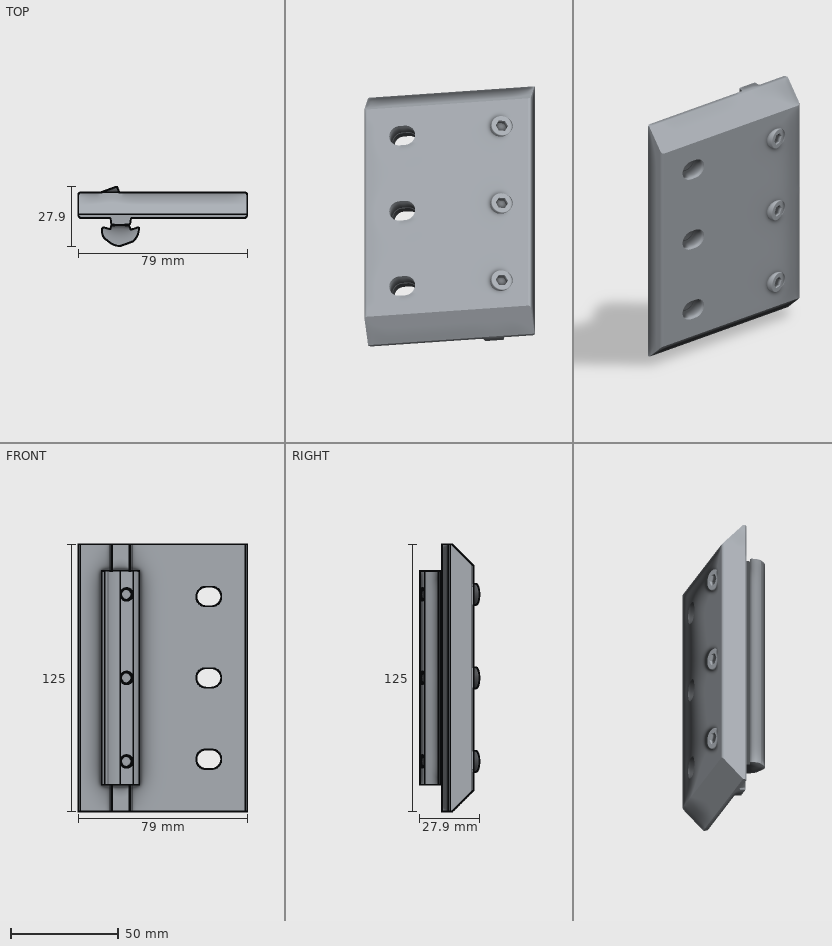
import cadquery as cq
import math

plate_width = 79.0
plate_height = 125.0
plate_thickness = 12.0
end_bevel = 10.1
back_edge_radius = 1.2
front_edge_chamfer = 1.0

rib_center_x = 19.9
rib_root_width = 9.6
rib_tip_width = 8.9
rib_height = 3.0
rib_root_radius = 0.6
rib_tip_chamfer = 0.4
rib_front_y = -(plate_thickness + rib_height)

slot_x = 61.0
slot_length = 11.5
slot_width = 9.0
slot_pitch = 38.0
slot_lip = 4.0
slot_recess_margin = 0.4

bar_length = 100.0
bar_gap = 0.4
bar_radius = 8.6
bar_center_x = rib_center_x
bar_center_y = -16.5
bar_top = rib_front_y - bar_gap - bar_center_y
neck_left = (-4.5, bar_top)
neck_right = (3.9, bar_top)
notch_left = (-4.9, -0.6)
notch_right = (4.8, -0.9)
lip_left = (-8.1, 0.2)
lip_right = (8.1, 0.2)
bulge_top = (-8.8, -0.4)
bulge_middle = (-8.6, -3.0)
bulge_bottom = (-7.5, -5.1)
bulge_end_angle = 224.5
screw_flat_distance = 8.0

screw_tilt = 20.0
screw_pitch = 39.0
screw_diameter = 5.0
head_diameter = 10.0
head_height = 6.0
head_edge_radius = 0.4
head_top_distance = 18.8
socket_sides = 6
socket_width = 5.0
socket_depth = 3.0
tip_recess = 0.5

row = (-1, 0, 1)
tilt = math.radians(screw_tilt)
screw_direction = cq.Vector(math.sin(tilt), -math.cos(tilt), 0)
bar_center = cq.Vector(bar_center_x, bar_center_y, 0)
screw_length = head_top_distance + screw_flat_distance - tip_recess


def screw_plane(distance, z):
    """Plane square to a screw axis, at a distance past the arc centre of the bar."""
    origin = bar_center + screw_direction * distance + cq.Vector(0, 0, z)
    return cq.Plane(origin=origin.toTuple(), xDir=(math.cos(tilt), math.sin(tilt), 0),
                    normal=screw_direction.toTuple())


def screw_shape(z):
    """Head with a rounded rim, and the shank, without the socket."""
    head = cq.Workplane(screw_plane(-head_top_distance, z)).circle(head_diameter / 2).extrude(head_height)
    head_top = cq.selectors.DirectionMinMaxSelector(screw_direction, directionMax=False)
    head = head.faces(head_top).edges().fillet(head_edge_radius)
    shank = cq.Workplane(screw_plane(-head_top_distance, z)).circle(screw_diameter / 2).extrude(screw_length)
    return head.union(shank)


def make_screw(z):
    """One screw with its hexagon socket."""
    corner_diameter = socket_width / math.cos(math.pi / socket_sides)
    socket = (
        cq.Workplane(screw_plane(-head_top_distance, z))
        .polygon(socket_sides, corner_diameter)
        .extrude(socket_depth)
    )
    return screw_shape(z).cut(socket)


def screw_clearance(z):
    """Hole for one screw: a counterbore open to the back, and the shank."""
    seat = head_height - head_top_distance
    bore_length = 2 * head_height
    bore = cq.Workplane(screw_plane(seat, z)).circle(head_diameter / 2).extrude(-bore_length)
    shank = cq.Workplane(screw_plane(seat, z)).circle(screw_diameter / 2).extrude(screw_length - head_height)
    return bore.union(shank)


def make_rib():
    """Tapered rib with chamfered front edges."""
    left = rib_center_x - rib_root_width / 2
    right = rib_center_x + rib_root_width / 2
    tip_left = rib_center_x - rib_tip_width / 2
    tip_right = rib_center_x + rib_tip_width / 2
    rib = (
        cq.Workplane("XY", origin=(0, 0, -plate_height / 2))
        .polyline([(left, -plate_thickness), (tip_left, rib_front_y), (tip_right, rib_front_y),
                   (right, -plate_thickness)])
        .close()
        .extrude(plate_height)
    )
    return rib.faces("<Y").edges("|Z").chamfer(rib_tip_chamfer)


def slot_cutter(z):
    """Slot with a slightly larger recess behind its front lip."""
    slot = (
        cq.Workplane("XZ", origin=(slot_x, 0, z))
        .slot2D(slot_length, slot_width)
        .extrude(plate_thickness)
    )
    recess = (
        cq.Workplane("XZ", origin=(slot_x, 0, z))
        .slot2D(slot_length + 2 * slot_recess_margin, slot_width + 2 * slot_recess_margin)
        .extrude(plate_thickness - slot_lip)
    )
    return slot.union(recess)


def make_plate():
    """Plate with bevelled ends, the rib, the slots and the screw holes."""
    half = plate_height / 2
    plate = (
        cq.Workplane("YZ")
        .polyline([(-plate_thickness, -half), (-end_bevel, -half), (0, end_bevel - half),
                   (0, half - end_bevel), (-end_bevel, half), (-plate_thickness, half)])
        .close()
        .extrude(plate_width)
    )
    plate = plate.faces(">Y").edges("|Z").fillet(back_edge_radius)
    plate = plate.faces("<Y").edges("|Z").chamfer(front_edge_chamfer)
    plate = plate.union(make_rib())
    for side in (-1, 1):
        root_x = rib_center_x + side * rib_root_width / 2
        root_edge = cq.selectors.NearestToPointSelector((root_x, -plate_thickness, 0))
        plate = plate.edges(root_edge).fillet(rib_root_radius)
    for index in row:
        plate = plate.cut(slot_cutter(index * slot_pitch))
        plate = plate.cut(screw_clearance(index * screw_pitch))
    return plate


def arc_point(degrees):
    """Point on the arc of the bar, measured from the arc centre."""
    angle = math.radians(degrees)
    return (bar_radius * math.cos(angle), bar_radius * math.sin(angle))


def make_clamp_bar():
    """T-shaped bar with countersunk screw holes in its tilted flat."""
    flat_half_angle = math.degrees(math.acos(screw_flat_distance / bar_radius))
    axis_angle = 270 + screw_tilt
    flat_start = axis_angle - flat_half_angle
    flat_end = axis_angle + flat_half_angle
    arc_end = 360
    bar = (
        cq.Workplane("XY", origin=(bar_center_x, bar_center_y, -bar_length / 2))
        .moveTo(*neck_left)
        .lineTo(*notch_left)
        .lineTo(*lip_left)
        .lineTo(*bulge_top)
        .threePointArc(bulge_middle, bulge_bottom)
        .lineTo(*arc_point(bulge_end_angle))
        .threePointArc(arc_point((bulge_end_angle + flat_start) / 2), arc_point(flat_start))
        .lineTo(*arc_point(flat_end))
        .threePointArc(arc_point((flat_end + arc_end) / 2), arc_point(arc_end))
        .lineTo(*lip_right)
        .lineTo(*notch_right)
        .lineTo(*neck_right)
        .close()
        .extrude(bar_length)
    )
    for index in row:
        z = index * screw_pitch
        countersink = (
            cq.Workplane(screw_plane(screw_flat_distance - tip_recess, z))
            .circle(screw_diameter / 2)
            .workplane(offset=tip_recess)
            .circle(screw_diameter / 2 + tip_recess)
            .loft()
        )
        bar = bar.cut(screw_clearance(z)).cut(countersink)
    return bar


plate = make_plate()
clamp_bar = make_clamp_bar()
screws = [make_screw(index * screw_pitch) for index in row]

result = cq.Compound.makeCompound([plate.val(), clamp_bar.val(), *[screw.val() for screw in screws]])